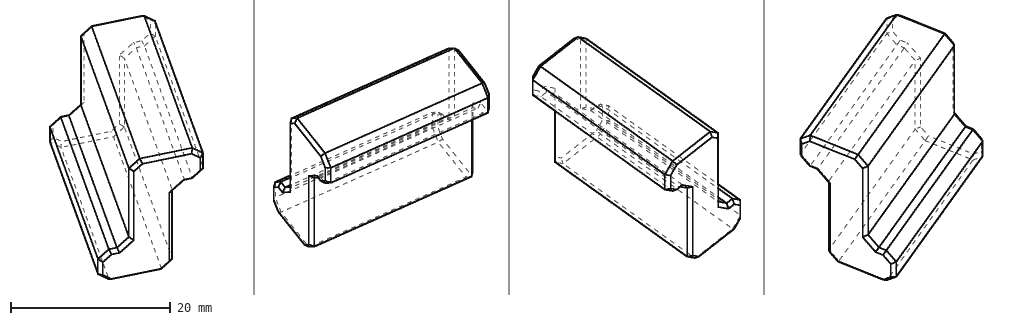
import cadquery as cq

LENGTH = 24.0
DEPTH = 13.7
HEIGHT = 21.7

LIP_REACH = 4.03
LIP_HEIGHT = 5.7
CORNER_BEVEL = 1.42
ROOT_BEVEL = 1.55
END_CHAMFER = 0.5


def half_outline():
    """Return (y, z) points around the lower lip, from the -Y web face to the +Y web face."""
    front = -DEPTH / 2
    bottom = -HEIGHT / 2
    web_front = front + LIP_REACH
    web_back = -web_front
    lip_top = bottom + LIP_HEIGHT
    return [
        (web_front, lip_top + ROOT_BEVEL),
        (web_front - ROOT_BEVEL, lip_top),
        (front + CORNER_BEVEL, lip_top),
        (front, lip_top - CORNER_BEVEL),
        (front, bottom + CORNER_BEVEL),
        (front + CORNER_BEVEL, bottom),
        (web_back - CORNER_BEVEL, bottom),
        (web_back, bottom + CORNER_BEVEL),
    ]


lower_half = half_outline()
upper_half = [(-y, -z) for y, z in lower_half]

bar = (
    cq.Workplane("YZ")
    .polyline(lower_half + upper_half)
    .close()
    .extrude(LENGTH / 2, both=True)
)

result = bar.faces("<X or >X").chamfer(END_CHAMFER)